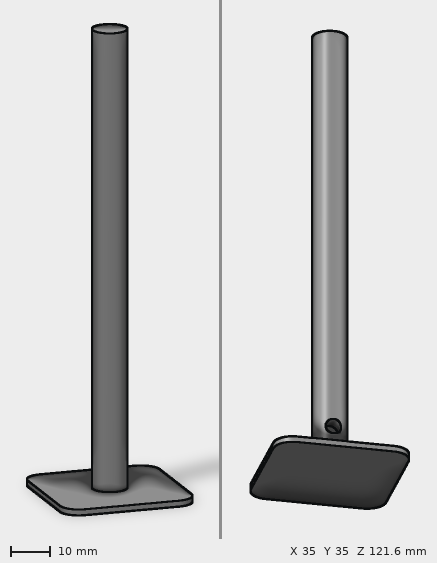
import cadquery as cq

plate_side = 35.0
plate_thickness = 1.6
corner_radius = 5.0

total_height = 121.6
rod_diameter = 9.0

hole_diameter = 4.0
hole_height = 11.7
hole_depth = rod_diameter / 2

plate = (
    cq.Workplane("XY")
    .rect(plate_side, plate_side)
    .extrude(plate_thickness)
    .edges("|Z")
    .fillet(corner_radius)
)

rod = cq.Workplane("XY").circle(rod_diameter / 2).extrude(total_height)

hole = (
    cq.Workplane("YZ", origin=(-rod_diameter / 2, 0, hole_height))
    .circle(hole_diameter / 2)
    .extrude(hole_depth)
)

result = plate.union(rod).cut(hole)